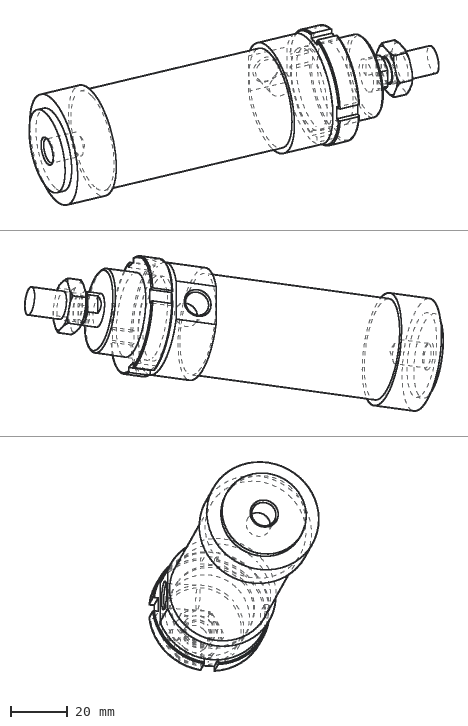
import cadquery as cq
import math

total_length = 149.5

tube_diameter = 36.0
cap_diameter = 40.0
cap_length = 15.0
collar_diameter = 30.0
collar_chamfer = 0.7
rear_boss_length = 2.5
front_cap_rear = 86.5
front_cap_front = front_cap_rear + cap_length
rear_cap_front = rear_boss_length + cap_length
housing_front = 123.6

hole_diameter = 8.7
hole_mouth_diameter = 10.0
hole_chamfer = (hole_mouth_diameter - hole_diameter) / 2
hole_depth = 12.0
drill_point_angle = 118.0
drill_point_length = hole_diameter / 2 / math.tan(math.radians(drill_point_angle / 2))
port_flat_offset = 18.7
port_y = 93.5

ring_diameter = 42.0
ring_width = 8.0
ring_rear = 103.5
ring_chamfer = 0.5
slot_width = 5.0
slot_floor_radius = 19.0
slot_count = 4

rod_diameter = 12.0
thread_diameter = 10.0
undercut_diameter = 8.8
shank_front = 129.6
flats_across = 10.0
flat_rear = 125.9

nut_across_flats = 17.0
nut_across_corners = nut_across_flats / math.cos(math.pi / 6)
nut_thickness = 6.0
nut_rear = 131.5
nut_chamfer_length = 0.6
nut_chamfer_angle = 30.0


def cylinder(diameter, start, end):
    """Cylinder about the Y axis between two Y positions."""
    circle = cq.Workplane("XZ", origin=(0, start, 0)).circle(diameter / 2)
    return circle.extrude(start - end)


def blind_hole(point_length):
    """Chamfered hole about Y, entering at Y = 0; its floor is a cone of the given length, or flat if 0."""
    mouth = cq.Workplane("XZ").circle(hole_mouth_diameter / 2).workplane(offset=-hole_chamfer)
    mouth = mouth.circle(hole_diameter / 2).loft(ruled=True)
    hole = mouth.union(cylinder(hole_diameter, hole_chamfer, hole_depth))
    if point_length > 0:
        point = cq.Solid.makeCone(
            hole_diameter / 2, 0, point_length, cq.Vector(0, hole_depth, 0), cq.Vector(0, 1, 0)
        )
        hole = hole.union(cq.Workplane(point))
    return hole


def make_housing():
    rear_boss = cylinder(collar_diameter, 0, rear_boss_length)
    rear_cap = cylinder(cap_diameter, rear_boss_length, rear_cap_front)
    tube = cylinder(tube_diameter, rear_cap_front, front_cap_rear)
    collar = cylinder(collar_diameter, front_cap_front, housing_front)
    collar = collar.faces(">Y").chamfer(collar_chamfer)

    front_cap = cylinder(cap_diameter, front_cap_rear, front_cap_front)
    flat_waste = cq.Workplane("XY").box(
        cap_diameter, cap_length, cap_diameter
    ).translate((-port_flat_offset - cap_diameter / 2, front_cap_rear + cap_length / 2, 0))
    front_cap = front_cap.cut(flat_waste)

    housing = rear_boss.union(rear_cap).union(tube).union(front_cap).union(collar)
    port = blind_hole(0).rotate((0, 0, 0), (0, 0, 1), -90)
    port = port.translate((-port_flat_offset, port_y, 0))
    return housing.cut(port).cut(blind_hole(drill_point_length))


def make_ring_nut():
    ring_front = ring_rear + ring_width
    ring = cylinder(ring_diameter, ring_rear, ring_front).edges().chamfer(ring_chamfer)
    ring = ring.cut(cylinder(collar_diameter, ring_rear, ring_front))
    slot = cq.Workplane("XY").box(
        slot_width, ring_width, ring_diameter
    ).translate((0, ring_rear + ring_width / 2, slot_floor_radius + ring_diameter / 2))
    for index in range(slot_count):
        ring = ring.cut(slot.rotate((0, 0, 0), (0, 1, 0), index * 360 / slot_count))
    return ring


def make_rod():
    shank = cylinder(rod_diameter, housing_front, shank_front)
    undercut = cylinder(undercut_diameter, shank_front, nut_rear)
    thread = cylinder(thread_diameter, nut_rear, total_length)

    flat_depth = (rod_diameter - flats_across) / 2
    flat_waste = (
        cq.Workplane("XY")
        .polyline([
            (flats_across / 2, flat_rear),
            (flats_across / 2, shank_front),
            (rod_diameter / 2, shank_front),
            (rod_diameter / 2, flat_rear - flat_depth),
        ])
        .close()
        .extrude(rod_diameter / 2, both=True)
    )
    shank = shank.cut(flat_waste).cut(flat_waste.mirror("YZ"))
    return shank.union(undercut).union(thread)


def make_hex_nut():
    nut_front = nut_rear + nut_thickness
    hexagon = cq.Workplane("XZ", origin=(0, nut_rear, 0)).polygon(6, nut_across_corners)
    nut = hexagon.extrude(-nut_thickness)
    chamfer_radial = nut_chamfer_length / math.tan(math.radians(nut_chamfer_angle))
    bevel = cylinder(nut_across_corners, nut_rear, nut_front)
    for end_face in ("<Y", ">Y"):
        bevel = bevel.faces(end_face).chamfer(nut_chamfer_length, chamfer_radial)
    return nut.intersect(bevel).cut(cylinder(thread_diameter, nut_rear, nut_front))


housing = make_housing()
ring_nut = make_ring_nut()
rod = make_rod()
hex_nut = make_hex_nut()

result = cq.Compound.makeCompound([
    housing.val(),
    ring_nut.val(),
    rod.val(),
    hex_nut.val(),
])